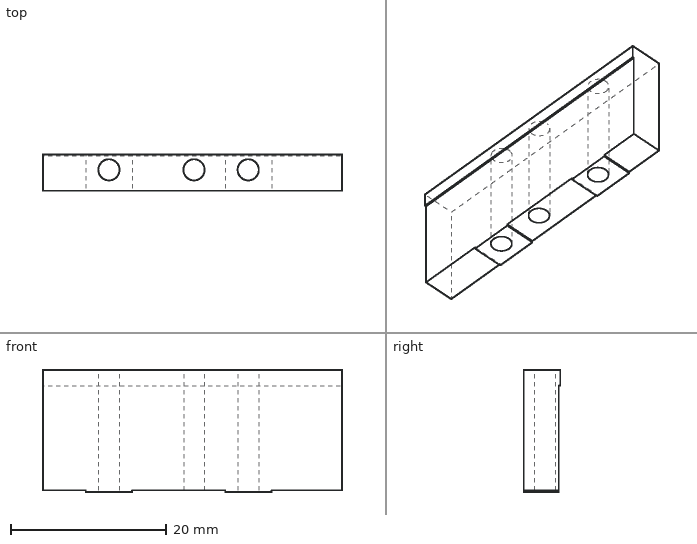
import cadquery as cq

length = 38.6
overall_depth = 4.7
overall_height = 15.75

lip_thickness = 0.2
lip_height = 2.0

pad_height = 0.25
pad_length = 6.0
first_pad_start = 5.52
pad_pitch = 18.0

hole_diameter = 2.7
hole_positions = (8.53, 19.5, 26.48)
hole_from_front = 2.7

body_depth = overall_depth - lip_thickness
body_height = overall_height - pad_height


def corner_box(size_x, size_y, size_z, corner):
    """Return a box whose left, front, bottom corner is at the given point."""
    return cq.Workplane("XY").box(size_x, size_y, size_z, centered=False).translate(corner)


body = corner_box(length, body_depth, body_height, (0, 0, pad_height))
lip = corner_box(length, lip_thickness, lip_height, (0, body_depth, overall_height - lip_height))
result = body.union(lip)

for pad_start in (first_pad_start, first_pad_start + pad_pitch):
    pad = corner_box(pad_length, body_depth, pad_height, (pad_start, 0, 0))
    result = result.union(pad)

for hole_x in hole_positions:
    hole = cq.Workplane("XY").center(hole_x, hole_from_front).circle(hole_diameter / 2).extrude(overall_height)
    result = result.cut(hole)